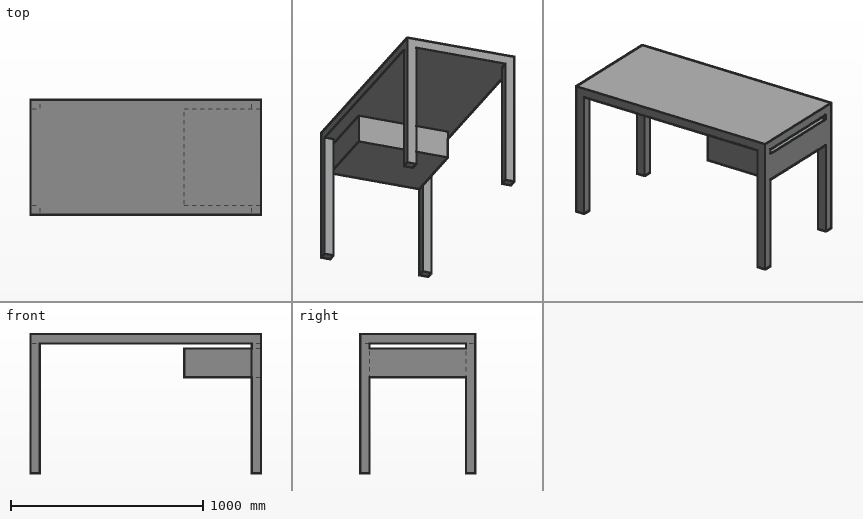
import cadquery as cq

length = 1200.0
depth = 600.0
height = 725.0

top_thickness = 50.0
leg_width = 50.0

drawer_gap = 25.0
drawer_height = 150.0
drawer_left = 800.0
drawer_right = length
drawer_depth = depth - 2 * leg_width


def box_from_corner(size_x, size_y, size_z, corner):
    """Box with its lowest X, Y, Z corner at the given point."""
    return cq.Workplane("XY").box(size_x, size_y, size_z, centered=False).translate(corner)


def make_top():
    return box_from_corner(length, depth, top_thickness, (0, 0, height - top_thickness))


def make_leg(x, y):
    return box_from_corner(leg_width, leg_width, height, (x, y, 0))


def make_drawer():
    bottom = height - top_thickness - drawer_gap - drawer_height
    front = (depth - drawer_depth) / 2
    return box_from_corner(
        drawer_right - drawer_left, drawer_depth, drawer_height, (drawer_left, front, bottom)
    )


result = make_top()
for leg_x in (0, length - leg_width):
    for leg_y in (0, depth - leg_width):
        result = result.union(make_leg(leg_x, leg_y))
result = result.union(make_drawer())